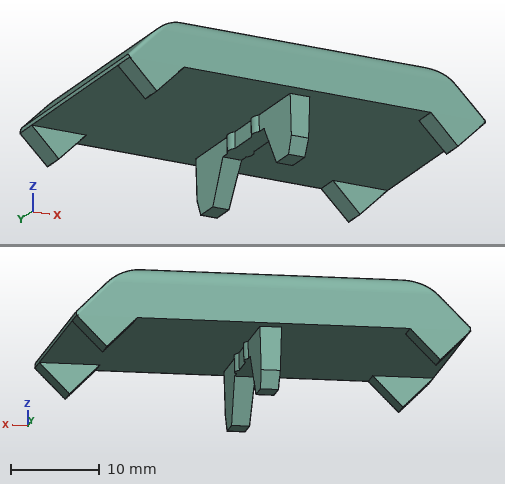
import cadquery as cq
import math

length = 45.0
width = 27.0
plate_height = 6.0
end_lip_height = 0.5
end_round = 6.98
side_round = 2.0
corner_round = 0.5
draft_angle = 1.0
draft = math.tan(math.radians(draft_angle))

clip_depth = 3.45
clip_width = 2.92

tab_depth = 7.0
tab_thickness = 2.48
tab_half_width = 11.6
tab_draft_angle = 1.7
tab_draft = math.tan(math.radians(tab_draft_angle))
foot_outer = 10.8
foot_inner = 7.85
foot_bevel_depth = 5.0
notch_half_width = 5.05
notch_depth = 2.0

rib_radius = 1.58
rib_spacing = 5.95

overlap = 0.45


def make_plate():
    """Intersect the sloped end profile with the drafted cross-section, then soften the corners."""
    skirt = 0.9
    half_length = length / 2
    top_half_length = half_length - (plate_height - end_lip_height)
    end_profile = (
        cq.Workplane("XZ")
        .polyline([
            (-half_length, -skirt),
            (half_length, -skirt),
            (half_length, end_lip_height),
            (top_half_length, plate_height),
            (-top_half_length, plate_height),
            (-half_length, end_lip_height),
        ])
        .close()
        .extrude(width, both=True)
        .edges("|Y and >Z")
        .fillet(end_round)
    )
    bottom_half_width = width / 2 + skirt * draft
    top_half_width = width / 2 - plate_height * draft
    cross_section = (
        cq.Workplane("YZ")
        .polyline([
            (-bottom_half_width, -skirt),
            (bottom_half_width, -skirt),
            (top_half_width, plate_height),
            (-top_half_width, plate_height),
        ])
        .close()
        .extrude(length, both=True)
        .edges("|X and >Z")
        .fillet(side_round)
    )
    ends_to_sides = "not(|X or |Y or |Z or <X or >X)"
    plate = end_profile.intersect(cross_section).edges(ends_to_sides).fillet(corner_round)
    return plate.intersect(
        cq.Workplane().box(2 * length, 2 * width, plate_height, centered=(True, True, False))
    )


def make_clip(x_side, y_side):
    """Triangular clip under one corner, its two upright faces drafted towards the tip."""
    half_length = length / 2
    half_width = width / 2
    triangle = (
        cq.Workplane("XZ")
        .polyline([
            (x_side * half_length, 0),
            (x_side * (half_length - clip_depth), -clip_depth),
            (x_side * (half_length - 2 * clip_depth), 0),
        ])
        .close()
        .extrude(width, both=True)
    )
    taper = clip_depth * draft
    band = (
        cq.Workplane("YZ")
        .polyline([
            (y_side * half_width, 0),
            (y_side * (half_width - taper), -clip_depth),
            (y_side * (half_width - clip_width + taper), -clip_depth),
            (y_side * (half_width - clip_width), 0),
        ])
        .close()
        .extrude(length, both=True)
    )
    return triangle.intersect(band)


def make_tab():
    """Thin upright tab across the width, thinning downwards and notched to leave two feet."""
    right_half = [
        (notch_half_width, -notch_depth),
        (foot_inner, -tab_depth),
        (foot_outer, -tab_depth),
        (tab_half_width, -foot_bevel_depth),
        (tab_half_width, overlap),
    ]
    left_half = [(-y, z) for y, z in reversed(right_half)]
    outline = cq.Workplane("YZ").polyline(right_half + left_half).close().extrude(length, both=True)
    top_half = tab_thickness / 2 + overlap * tab_draft
    bottom_half = tab_thickness / 2 - tab_depth * tab_draft
    thickness = (
        cq.Workplane("XZ")
        .polyline([
            (-top_half, overlap),
            (top_half, overlap),
            (bottom_half, -tab_depth),
            (-bottom_half, -tab_depth),
        ])
        .close()
        .extrude(width, both=True)
    )
    return outline.intersect(thickness)


def make_rib(y):
    """Round rib centred in the tab, tapering down to the level of the notch."""
    return (
        cq.Workplane("XY")
        .center(0, y)
        .circle(rib_radius)
        .extrude(-notch_depth, taper=tab_draft_angle)
    )


result = make_plate().union(make_tab())
for x_side in (-1, 1):
    for y_side in (-1, 1):
        result = result.union(make_clip(x_side, y_side))
for rib_y in (-rib_spacing / 2, rib_spacing / 2):
    result = result.union(make_rib(rib_y))